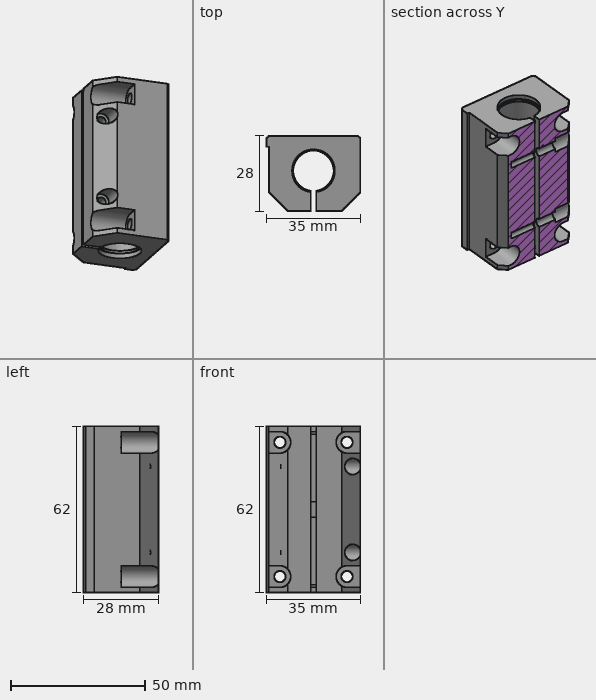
import cadquery as cq

length = 62.0
width = 35.0
depth = 28.0
back_to_axis = 13.0
half_width = width / 2
back = back_to_axis
front = back - depth

lip_width = 0.9
lip_height = 4.15
back_chamfer = 0.9
front_chamfer = 7.0

bore_diameter = 16.0
collar_diameter = 15.0
collar_length = 5.9
ring_groove_offset = 2.0
ring_groove_diameter = 16.8
ring_groove_width = 1.05
slit_width = 1.9

mount_diameter = 4.15
mount_spacing_x = 25.0
mount_spacing_z = 50.0
pocket_width = 8.05
pocket_depth = 13.95

clamp_spacing = 32.0
clamp_to_front = 4.15
clamp_head_diameter = 6.0
clamp_clearance_diameter = 3.4
clamp_thread_diameter = 2.5
clamp_head_seat_x = 8.7
clamp_thread_wall = 0.3


def cylinder(diameter, height, base, direction):
    """Solid cylinder growing from a base point along a direction."""
    return cq.Workplane(cq.Solid.makeCylinder(
        diameter / 2, height, cq.Vector(*base), cq.Vector(*direction)))


def make_block():
    body_left = lip_width - half_width
    outline = [
        (-half_width + back_chamfer, back),
        (half_width - back_chamfer, back),
        (half_width, back - back_chamfer),
        (half_width, front + front_chamfer),
        (half_width - front_chamfer, front),
        (body_left + front_chamfer, front),
        (body_left, front + front_chamfer),
        (body_left, back - lip_height),
        (-half_width, back - lip_height),
        (-half_width, back - back_chamfer),
    ]
    return cq.Workplane("XY").polyline(outline).close().extrude(length / 2, both=True)


def cut_bore(block):
    bottom = -length / 2
    block = block.cut(cylinder(collar_diameter, length, (0, 0, bottom), (0, 0, 1)))
    seat_depth = (length - collar_length) / 2
    for side in (-1, 1):
        end = (0, 0, side * length / 2)
        groove_start = (0, 0, side * (length / 2 - ring_groove_offset))
        inward = (0, 0, -side)
        block = block.cut(cylinder(bore_diameter, seat_depth, end, inward))
        block = block.cut(cylinder(ring_groove_diameter, ring_groove_width, groove_start, inward))
    slit = cq.Workplane("XY").box(slit_width, -front, length).translate((0, front / 2, 0))
    return block.cut(slit)


def cut_mounting(block):
    floor = front + pocket_depth
    for side in (-1, 1):
        x = side * mount_spacing_x / 2
        for z in (-mount_spacing_z / 2, mount_spacing_z / 2):
            hole = cylinder(mount_diameter, depth, (x, front, z), (0, 1, 0))
            round_end = cylinder(pocket_width, pocket_depth, (x, front, z), (0, 1, 0))
            opening = (
                cq.Workplane("XY")
                .box(half_width, pocket_depth, pocket_width)
                .translate((x + side * half_width / 2, floor - pocket_depth / 2, z))
            )
            block = block.cut(hole).cut(round_end).cut(opening)
    return block


def cut_clamp_screws(block):
    y = front + clamp_to_front
    chamfer_face_x = half_width - lip_width - front_chamfer + clamp_to_front
    thread_depth = chamfer_face_x - clamp_thread_diameter / 2 - clamp_thread_wall
    for z in (-clamp_spacing / 2, clamp_spacing / 2):
        head = cylinder(clamp_head_diameter, half_width, (clamp_head_seat_x, y, z), (1, 0, 0))
        clearance = cylinder(clamp_clearance_diameter, half_width, (0, y, z), (1, 0, 0))
        thread = cylinder(clamp_thread_diameter, thread_depth, (0, y, z), (-1, 0, 0))
        block = block.cut(head).cut(clearance).cut(thread)
    return block


result = cut_clamp_screws(cut_mounting(cut_bore(make_block())))